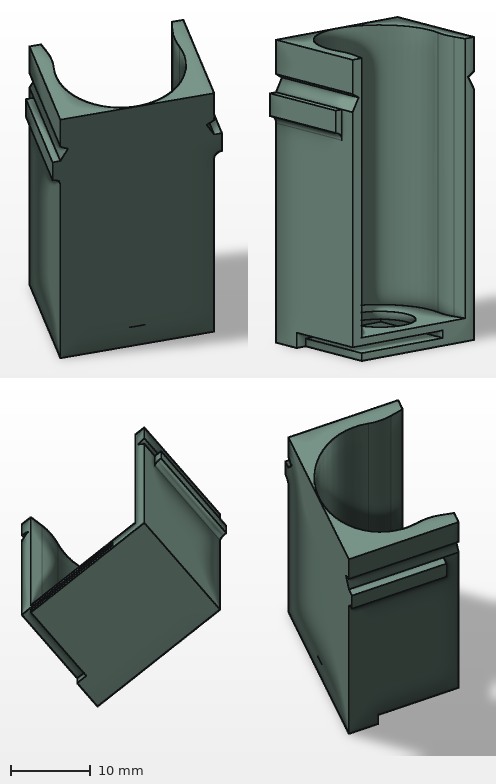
import cadquery as cq
import math

LENGTH = 14.9
WIDTH = 20.0
HEIGHT = 39.0
HALF_WIDTH = WIDTH / 2

FLOOR_Z = 3.0
BORE_X = 6.5
BORE_RADIUS = 8.3
MOUTH_HALF_WIDTH = 8.5
LIP_RADIUS = 7.8
LIP_ANGLE = math.radians(11.5)

SLOT_BOTTOM_Z = 1.0
SLOT_TOP_Z = 2.0
SLOT_HALF_WIDTH = 4.85
SLOT_DEPTH = 12.0
EXIT_CORNER_RADIUS = 1.15
EXIT_DEPTH = SLOT_DEPTH - EXIT_CORNER_RADIUS
FLOOR_HOLE_RADIUS = 4.5

RIB_OVERHANG = 1.0
RIB_START_X = 2.05
RIB_TOP_Z = 32.25
RIB_FACE_BOTTOM_Z = 29.33
GROOVE_TOP_Z = 34.6
GROOVE_APEX_Z = 34.0
GROOVE_DEPTH = 0.98


def make_cavity():
    """Bore joined to the open face by a rounded lip and a straight flare."""
    join_x = BORE_X - BORE_RADIUS * math.sin(LIP_ANGLE)
    join_y = BORE_RADIUS * math.cos(LIP_ANGLE)
    lip_x = BORE_X - (BORE_RADIUS + LIP_RADIUS) * math.sin(LIP_ANGLE)
    lip_y = (BORE_RADIUS + LIP_RADIUS) * math.cos(LIP_ANGLE) - LIP_RADIUS
    flare_x = 2 * lip_x - join_x
    return (
        cq.Workplane("XY", origin=(0, 0, FLOOR_Z))
        .moveTo(0, -MOUTH_HALF_WIDTH)
        .lineTo(flare_x, -join_y)
        .threePointArc((lip_x, -lip_y), (join_x, -join_y))
        .threePointArc((BORE_X + BORE_RADIUS, 0), (join_x, join_y))
        .threePointArc((lip_x, lip_y), (flare_x, join_y))
        .lineTo(0, MOUTH_HALF_WIDTH)
        .close()
        .extrude(HEIGHT - FLOOR_Z)
    )


def make_slot():
    """Slot open at the front and +Y side, with a rounded step in its back wall."""
    round_end_y = SLOT_HALF_WIDTH + EXIT_CORNER_RADIUS
    return (
        cq.Workplane("XY", origin=(0, 0, SLOT_BOTTOM_Z))
        .moveTo(0, -SLOT_HALF_WIDTH)
        .lineTo(SLOT_DEPTH, -SLOT_HALF_WIDTH)
        .lineTo(SLOT_DEPTH, SLOT_HALF_WIDTH)
        .radiusArc((EXIT_DEPTH, round_end_y), -EXIT_CORNER_RADIUS)
        .lineTo(EXIT_DEPTH, HALF_WIDTH)
        .lineTo(0, HALF_WIDTH)
        .close()
        .extrude(SLOT_TOP_Z - SLOT_BOTTOM_Z)
    )


def make_exit_notch():
    """Bottom corner removed under the outer end of the side exit."""
    return cq.Workplane("XY").box(
        EXIT_DEPTH, HALF_WIDTH - MOUTH_HALF_WIDTH, SLOT_TOP_Z, centered=False
    ).translate((0, MOUTH_HALF_WIDTH, 0))


def make_floor_hole():
    """Round hole through the floor into the slot."""
    return (
        cq.Workplane("XY", origin=(BORE_X, 0, SLOT_TOP_Z))
        .circle(FLOOR_HOLE_RADIUS)
        .extrude(FLOOR_Z - SLOT_TOP_Z)
    )


def make_groove():
    """V groove along the +Y side."""
    return (
        cq.Workplane("YZ")
        .moveTo(HALF_WIDTH, GROOVE_TOP_Z)
        .lineTo(HALF_WIDTH - GROOVE_DEPTH, GROOVE_APEX_Z)
        .lineTo(HALF_WIDTH, RIB_TOP_Z)
        .close()
        .extrude(LENGTH)
    )


def make_rib():
    """Rib along the +Y side with a concave round beneath it."""
    return (
        cq.Workplane("YZ", origin=(RIB_START_X, 0, 0))
        .moveTo(HALF_WIDTH, RIB_TOP_Z)
        .lineTo(HALF_WIDTH + RIB_OVERHANG, RIB_TOP_Z)
        .lineTo(HALF_WIDTH + RIB_OVERHANG, RIB_FACE_BOTTOM_Z)
        .radiusArc((HALF_WIDTH, RIB_FACE_BOTTOM_Z - RIB_OVERHANG), -RIB_OVERHANG)
        .close()
        .extrude(LENGTH - RIB_START_X)
    )


body = cq.Workplane("XY").box(LENGTH, WIDTH, HEIGHT, centered=(False, True, False))
for cutter in (make_cavity(), make_floor_hole(), make_slot(), make_exit_notch()):
    body = body.cut(cutter)

groove = make_groove()
rib = make_rib()
body = body.cut(groove).cut(groove.mirror("XZ"))
result = body.union(rib).union(rib.mirror("XZ"))